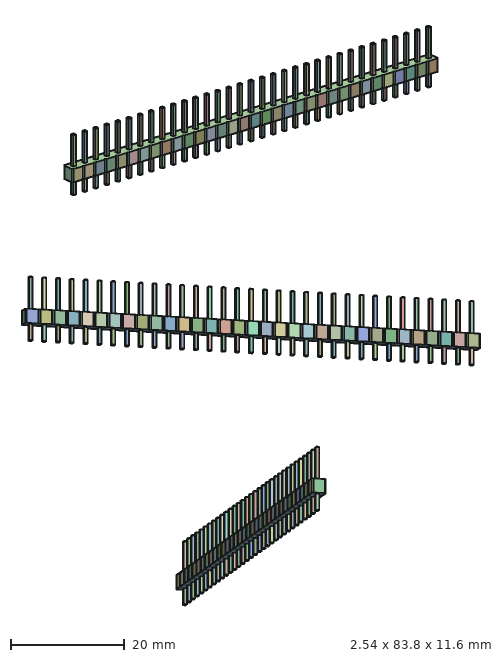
import cadquery as cq

row_length = 83.8
pin_count = 33
pin_side = 0.64
pin_length = 11.6
pin_below = 3.0
body_bevel = 0.25

pitch = row_length / pin_count
body_width = pitch
body_height = pitch
tip_bevel = pin_side / 4


def segment_centre(index):
    """Y position of one pin and its body segment."""
    return (index - (pin_count - 1) / 2) * pitch


def body_outline():
    """Points around the row of segments, whose bevels meet as V notches."""
    half_width = body_width / 2
    narrow_half_width = half_width - body_bevel
    side = [(narrow_half_width, -row_length / 2)]
    for index in range(pin_count):
        start = segment_centre(index) - pitch / 2
        end = start + pitch
        side.append((half_width, start + body_bevel))
        side.append((half_width, end - body_bevel))
        side.append((narrow_half_width, end))
    mirrored_side = [(-x, y) for x, y in reversed(side)]
    return side + mirrored_side


body = cq.Workplane("XY").polyline(body_outline()).close().extrude(body_height)

pin_centres = [(0, segment_centre(index)) for index in range(pin_count)]
pins = (
    cq.Workplane("XY")
    .workplane(offset=-pin_below)
    .pushPoints(pin_centres)
    .rect(pin_side, pin_side)
    .extrude(pin_length)
    .faces("<Z or >Z")
    .chamfer(tip_bevel)
)

result = body.union(pins)